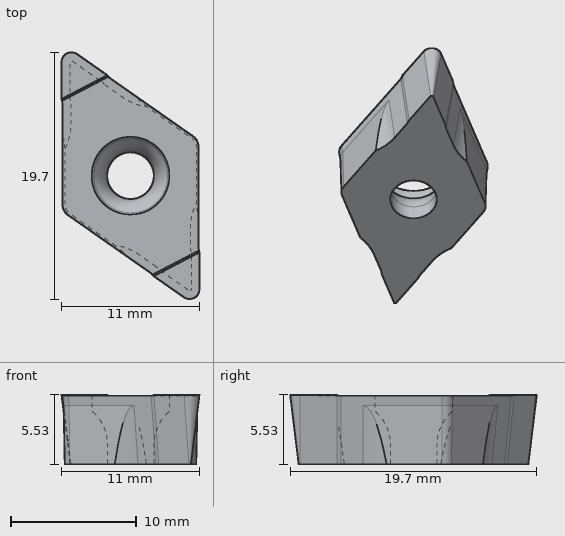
import math

import cadquery as cq


NOSE_ANGLE = 55.0
HALF_WIDTH = 5.5
THICKNESS = 5.53
CLEARANCE_ANGLE = 7.0
TIP_RADIUS = 0.794
CORNER_RADIUS = 1.1

SETBACK = 0.06
TIP_LENGTH = 4.46
FLANK_RAMP = 0.32
TOP_RAMP = 0.15

BAND_HEIGHT = 0.83
BOSS_ANGLE = 1.1
BOSS_START = 6.52
BOSS_RUNOUT_RADIUS = 4.0
BOSS_EMBED = 1.0

HOLE_DIAMETER = 3.7
SEAT_DIAMETER = 6.2
SEAT_DEPTH = 1.04
SEAT_FILLET = 0.5
SEAT_ROUND = 3.5

HALF_NOSE = math.radians(NOSE_ANGLE / 2)
CLEARANCE_SLOPE = math.tan(math.radians(CLEARANCE_ANGLE))
BOSS_SLOPE = math.tan(math.radians(BOSS_ANGLE))
BODY_TOP = THICKNESS - SETBACK
BOSS_TOP = THICKNESS - BAND_HEIGHT
APEX_DISTANCE = HALF_WIDTH / math.sin(HALF_NOSE)

NOSE = math.radians(NOSE_ANGLE)
STRAIGHT_NORMAL = (-1.0, 0.0)
SLANTED_NORMAL = (math.cos(NOSE), math.sin(NOSE))
STRAIGHT_RUN = (0.0, -1.0)
SLANTED_RUN = (math.sin(NOSE), -math.cos(NOSE))
TIP_DIRECTION = (-math.sin(HALF_NOSE), math.cos(HALF_NOSE))
CORNER_DIRECTION = (-math.cos(HALF_NOSE), -math.sin(HALF_NOSE))
APEX = (APEX_DISTANCE * TIP_DIRECTION[0], APEX_DISTANCE * TIP_DIRECTION[1])
STRAIGHT_FLANK = (STRAIGHT_RUN, STRAIGHT_NORMAL)
SLANTED_FLANK = (SLANTED_RUN, SLANTED_NORMAL)


def in_place(point):
    """The point itself, for the half of the insert that is not turned."""
    return point


def opposite(point):
    """The same point turned half a turn about the Z axis."""
    return (-point[0], -point[1])


def flank_point(flank, distance, inset):
    """Plan point at a distance from the apex along a flank, moved inward by inset."""
    run, normal = flank
    return tuple(APEX[i] + distance * run[i] - inset * normal[i] for i in range(2))


def along(center, direction, length):
    """Plan point at a length from the center in a direction."""
    return (center[0] + length * direction[0], center[1] + length * direction[1])


def tip_arc(inset):
    """Start, middle and end of the tip rounding, from straight to slanted flank."""
    center = along((0, 0), TIP_DIRECTION, (HALF_WIDTH - TIP_RADIUS) / math.sin(HALF_NOSE))
    radius = TIP_RADIUS - inset
    return [along(center, d, radius) for d in (STRAIGHT_NORMAL, TIP_DIRECTION, SLANTED_NORMAL)]


def corner_arc(inset):
    """Start, middle and end of the left corner rounding, from slanted to straight flank."""
    center_distance = (HALF_WIDTH - SETBACK - CORNER_RADIUS) / math.cos(HALF_NOSE)
    center = along((0, 0), CORNER_DIRECTION, center_distance)
    radius = CORNER_RADIUS - inset
    directions = (opposite(SLANTED_NORMAL), CORNER_DIRECTION, STRAIGHT_NORMAL)
    return [along(center, d, radius) for d in directions]


def insert_outline(z):
    """Closed outline of the insert at height z."""
    inset = (THICKNESS - z) * CLEARANCE_SLOPE
    body_inset = inset + SETBACK
    ramp_end = TIP_LENGTH + FLANK_RAMP
    tip_start, tip_middle, tip_end = tip_arc(inset)
    left_corner = corner_arc(inset)
    right_corner = [opposite(p) for p in left_corner]

    outline = cq.Workplane("XY", origin=(0, 0, z)).moveTo(*left_corner[2])
    for turn, next_corner in ((in_place, right_corner), (opposite, left_corner)):
        outline = (
            outline.lineTo(*turn(flank_point(STRAIGHT_FLANK, ramp_end, body_inset)))
            .lineTo(*turn(flank_point(STRAIGHT_FLANK, TIP_LENGTH, inset)))
            .lineTo(*turn(tip_start))
            .threePointArc(turn(tip_middle), turn(tip_end))
            .lineTo(*turn(flank_point(SLANTED_FLANK, TIP_LENGTH, inset)))
            .lineTo(*turn(flank_point(SLANTED_FLANK, ramp_end, body_inset)))
            .lineTo(*next_corner[0])
            .threePointArc(next_corner[1], next_corner[2])
        )
    return outline.close().val()


def boss_outline(z):
    """Closed outline of the left corner boss at height z, ends square to the flanks."""
    inset = BAND_HEIGHT * CLEARANCE_SLOPE + (BOSS_TOP - z) * BOSS_SLOPE
    face_inset = inset + SETBACK
    inner_inset = face_inset + BOSS_EMBED
    start, middle, end = corner_arc(inset)
    return (
        cq.Workplane("XY", origin=(0, 0, z))
        .moveTo(*opposite(flank_point(SLANTED_FLANK, BOSS_START, face_inset)))
        .lineTo(*start)
        .threePointArc(middle, end)
        .lineTo(*flank_point(STRAIGHT_FLANK, BOSS_START, face_inset))
        .lineTo(*flank_point(STRAIGHT_FLANK, BOSS_START, inner_inset))
        .lineTo(*opposite(flank_point(SLANTED_FLANK, BOSS_START, inner_inset)))
        .close()
        .val()
    )


def loft(outline, top):
    """Straight-sided solid between the outlines at Z = 0 and at the top height."""
    return cq.Workplane(cq.Solid.makeLoft([outline(0), outline(top)], True))


def runout_cutter(flank, turn):
    """Cylinder outside a flank, touching it along the line where the boss starts."""
    clearance = math.radians(CLEARANCE_ANGLE)
    normal = turn(flank[1])
    foot = turn(flank_point(flank, BOSS_START, SETBACK + THICKNESS * CLEARANCE_SLOPE))
    out = BOSS_RUNOUT_RADIUS * math.cos(clearance)
    base = cq.Vector(*along(foot, normal, out), -BOSS_RUNOUT_RADIUS * math.sin(clearance))
    up_flank = cq.Vector(*along((0, 0), normal, math.sin(clearance)), math.cos(clearance))
    start = base - up_flank * THICKNESS
    length = 3 * THICKNESS
    return cq.Workplane(cq.Solid.makeCylinder(BOSS_RUNOUT_RADIUS, length, start, up_flank))


def corner_boss():
    """Boss around the left corner, blended into both of its flanks."""
    boss = loft(boss_outline, BOSS_TOP)
    boss = boss.cut(runout_cutter(STRAIGHT_FLANK, in_place))
    return boss.cut(runout_cutter(SLANTED_FLANK, opposite))


def top_step_cutter():
    """Shallow trough that lowers the top face between the two tips."""
    upper = APEX_DISTANCE - TIP_LENGTH * math.cos(HALF_NOSE)
    lower = upper - TOP_RAMP
    across = (TIP_DIRECTION[1], -TIP_DIRECTION[0], 0)
    plane = cq.Plane(origin=(0, 0, 0), xDir=(*TIP_DIRECTION, 0), normal=across)
    return (
        cq.Workplane(plane)
        .polyline(
            [(-lower, BODY_TOP), (lower, BODY_TOP), (upper, THICKNESS), (-upper, THICKNESS)]
        )
        .close()
        .extrude(2 * HALF_WIDTH, both=True)
    )


def screw_hole():
    """Straight-walled seat, concave fillet, convex round and through hole."""
    hole_radius = HOLE_DIAMETER / 2
    seat_radius = SEAT_DIAMETER / 2
    fillet_center = (seat_radius - SEAT_FILLET, THICKNESS - SEAT_DEPTH)
    round_x = hole_radius + SEAT_ROUND
    turn = math.acos((round_x - fillet_center[0]) / (SEAT_FILLET + SEAT_ROUND))
    round_z = fillet_center[1] - (SEAT_FILLET + SEAT_ROUND) * math.sin(turn)

    def fillet_point(angle):
        return along(fillet_center, (math.cos(angle), -math.sin(angle)), SEAT_FILLET)

    def round_point(angle):
        return along((round_x, round_z), (-math.cos(angle), math.sin(angle)), SEAT_ROUND)

    return (
        cq.Workplane("XZ")
        .moveTo(0, 0)
        .lineTo(hole_radius, 0)
        .lineTo(*round_point(0))
        .threePointArc(round_point(turn / 2), round_point(turn))
        .threePointArc(fillet_point(turn / 2), fillet_point(0))
        .lineTo(seat_radius, THICKNESS)
        .lineTo(0, THICKNESS)
        .close()
        .revolve(360, (0, 0, 0), (0, 1, 0))
    )


left_boss = corner_boss()
right_boss = left_boss.rotate((0, 0, 0), (0, 0, 1), 180)

result = loft(insert_outline, THICKNESS)
result = result.cut(top_step_cutter())
result = result.union(left_boss).union(right_boss)
result = result.cut(screw_hole())